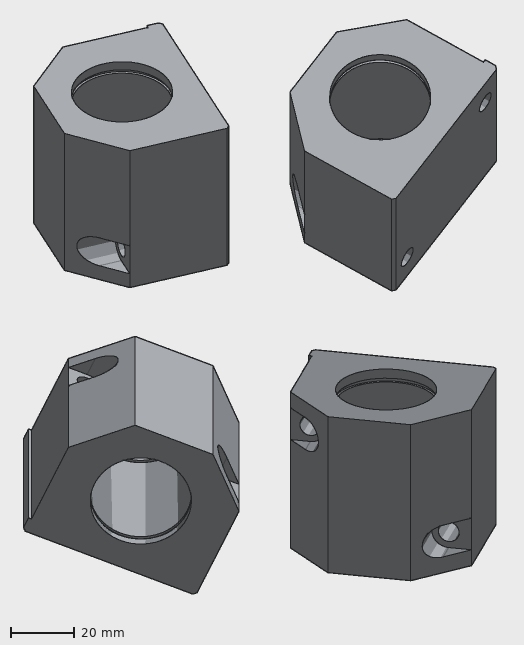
import cadquery as cq

WIDTH = 60.0
DEPTH = 50.0
HEIGHT = 54.0
LIP_OVERHANG = 1.0
LIP_LENGTH = 5.0
BACK_CHAMFER = 1.0
FRONT_CHAMFER = 16.0

BORE_DIAMETER = 32.0
BORE_TO_BACK = 25.0
GROOVE_DIAMETER = 33.7
GROOVE_WIDTH = 1.3
GROOVE_INSET = 3.2

BOLT_SPACING = 45.0
BOLT_END_DISTANCE = 11.0
BOLT_DIAMETER = 6.8
SEAT_WIDTH = 11.0

right = WIDTH / 2
left = -WIDTH / 2
body_left = left + LIP_OVERHANG
back = BORE_TO_BACK
front = back - DEPTH
seat_floor = front + FRONT_CHAMFER


def make_block():
    outline = [
        (left + BACK_CHAMFER, back),
        (right - BACK_CHAMFER, back),
        (right, back - BACK_CHAMFER),
        (right, seat_floor),
        (right - FRONT_CHAMFER, front),
        (body_left + FRONT_CHAMFER, front),
        (body_left, seat_floor),
        (body_left, back - LIP_LENGTH),
        (left, back - LIP_LENGTH),
        (left, back - BACK_CHAMFER),
    ]
    return cq.Workplane("XY").polyline(outline).close().extrude(HEIGHT)


def cylinder_along_z(diameter, bottom, length):
    return cq.Workplane("XY").workplane(offset=bottom).circle(diameter / 2).extrude(length)


def make_bore():
    bore = cylinder_along_z(BORE_DIAMETER, 0, HEIGHT)
    for bottom in (GROOVE_INSET, HEIGHT - GROOVE_INSET - GROOVE_WIDTH):
        bore = bore.union(cylinder_along_z(GROOVE_DIAMETER, bottom, GROOVE_WIDTH))
    return bore


def make_bolt_cut(side, z):
    """Through hole and head seat; side is -1 for the left bolt and 1 for the right."""
    x = side * BOLT_SPACING / 2
    hole = cq.Workplane("XZ", origin=(x, back, z)).circle(BOLT_DIAMETER / 2).extrude(DEPTH)
    seat_plane = cq.Workplane("XZ", origin=(x, seat_floor, z))
    round_end = seat_plane.circle(SEAT_WIDTH / 2).extrude(FRONT_CHAMFER)
    run_out = WIDTH / 2
    open_side = seat_plane.center(side * run_out / 2, 0).rect(run_out, SEAT_WIDTH).extrude(FRONT_CHAMFER)
    return hole.union(round_end).union(open_side)


result = (
    make_block()
    .cut(make_bore())
    .cut(make_bolt_cut(-1, HEIGHT - BOLT_END_DISTANCE))
    .cut(make_bolt_cut(1, BOLT_END_DISTANCE))
)